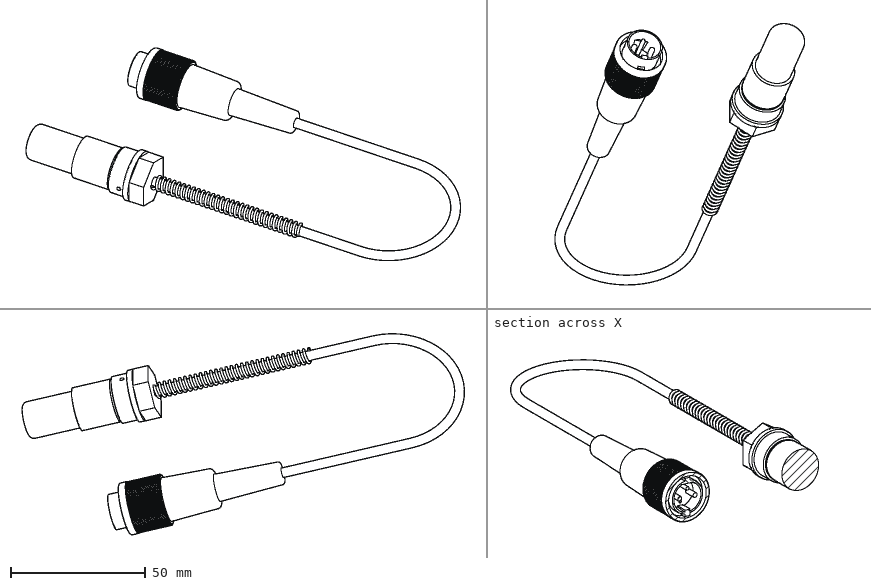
import cadquery as cq
import math

TOTAL_LENGTH = 161.8
AXIS_SPACING = 50.0

PROBE_TIP_D = 14.0
PROBE_TIP_ROUND = 2.1
PROBE_BODY_X = 20.0
PROBE_BODY_D = 16.5
PROBE_GROOVE_X = 34.8
PROBE_GROOVE_D = 16.0
PROBE_COLLAR_X = 35.6
PROBE_COLLAR_D = 18.0
PROBE_FLANGE_X = 41.9
PROBE_FLANGE_D = 19.9
HEX_X = 44.0
HEX_END_X = 50.0
HEX_CORNERS_D = 20.0
COLLAR_HOLE_D = 1.49
COLLAR_HOLE_X = 39.8
COLLAR_HOLE_DEPTH = 1.5

CABLE_D = 3.7
BEND_RADIUS = AXIS_SPACING / 2
BEND_X = TOTAL_LENGTH - BEND_RADIUS - CABLE_D / 2

WIRE_D = 1.0
SPRING_D = 6.0
SPRING_TURNS = 30
SPRING_TRAVEL = 60.0
SPRING_X = HEX_END_X + WIRE_D / 2

SHELL_X = 19.1
SHELL_D = 13.6
SHELL_MOUTH_D = 12.3
SHELL_FLOOR_D = 11.3
SHELL_BORE_DEPTH = 10.0
BORE_FLAT_HEIGHT = 5.3
KEY_WIDTH = 2.3
KEY_TIP_RADIUS = 5.0
LUG_WIDTH = 2.5
LUG_TIP_RADIUS = 7.8
FLOOR_HOLE_D = 1.0
FLOOR_HOLE_RADIUS = 3.5
FLOOR_HOLE_DEPTH = 1.0
FLAT_SETBACK = 4.9

SIDE_PIN_D = 2.0
TOP_PIN_D = 1.5
PIN_CIRCLE_RADIUS = 3.4
PINS = ((0, SIDE_PIN_D), (90, TOP_PIN_D), (180, SIDE_PIN_D))
PIN_TIP_SETBACK = 1.6
PIN_TIP_ROUND = 0.5

RING_X = 24.0
RING_END_X = 40.1
RING_FLANGE_D = 19.9
RING_FLANGE_LENGTH = 2.9
RING_RECESS_D = 16.5
RING_RECESS_DEPTH = 2.8
RING_ROUND = 0.6
KNURL_D = 19.5
KNURL_GROOVES = 100
KNURL_DEPTH = 0.3
KNURL_CHAMFER = 0.5

BOOT_STEP_X = 59.7
BOOT_END_X = 85.0
BOOT_START_D = 16.8
BOOT_STEP_D = 15.2
BOOT_STEP_ROUND = 1.6
SLEEVE_START_D = 10.5
SLEEVE_END_D = 8.7
SLEEVE_ROUND = 1.0


def rod(start_x, end_x, diameter, y=0.0, z=0.0):
    """Cylinder parallel to X."""
    plane = cq.Workplane("YZ", origin=(start_x, y, z))
    return plane.circle(diameter / 2).extrude(end_x - start_x)


def cone(start_x, end_x, start_d, end_d):
    """Tapered round section around the connector axis."""
    outline = [
        (start_x, 0),
        (start_x, start_d / 2),
        (end_x, end_d / 2),
        (end_x, 0),
    ]
    section = cq.Workplane("XY").polyline(outline).close().revolve(360, (0, 0), (1, 0))
    return section.translate((0, AXIS_SPACING, 0))


def block(start_x, end_x, width, bottom_z, top_z):
    """Rectangular block centred across the connector axis."""
    size = (end_x - start_x, width, top_z - bottom_z)
    corner = (start_x, AXIS_SPACING - width / 2, bottom_z)
    return cq.Workplane("XY").box(*size, centered=False).translate(corner)


def make_probe():
    tip = rod(0, PROBE_BODY_X, PROBE_TIP_D).faces("<X").edges().fillet(PROBE_TIP_ROUND)
    body = rod(PROBE_BODY_X, PROBE_GROOVE_X, PROBE_BODY_D)
    groove = rod(PROBE_GROOVE_X, PROBE_COLLAR_X, PROBE_GROOVE_D)
    collar = rod(PROBE_COLLAR_X, PROBE_FLANGE_X, PROBE_COLLAR_D)
    flange = rod(PROBE_FLANGE_X, HEX_X, PROBE_FLANGE_D)
    hexagon = (
        cq.Workplane("YZ", origin=(HEX_X, 0, 0))
        .transformed(rotate=(0, 0, 90))
        .polygon(6, HEX_CORNERS_D)
        .extrude(HEX_END_X - HEX_X)
    )
    hole = (
        cq.Workplane("XZ", origin=(COLLAR_HOLE_X, -PROBE_COLLAR_D / 2 + COLLAR_HOLE_DEPTH, 0))
        .circle(COLLAR_HOLE_D / 2)
        .extrude(PROBE_COLLAR_D)
    )
    return tip.union(body).union(groove).union(collar).union(flange).union(hexagon).cut(hole)


def make_cable():
    path = (
        cq.Workplane("XY")
        .moveTo(HEX_END_X, 0)
        .lineTo(BEND_X, 0)
        .threePointArc((BEND_X + BEND_RADIUS, BEND_RADIUS), (BEND_X, AXIS_SPACING))
        .lineTo(BOOT_END_X, AXIS_SPACING)
    )
    return cq.Workplane("YZ", origin=(HEX_END_X, 0, 0)).circle(CABLE_D / 2).sweep(path)


def make_spring():
    """Right-handed coil that starts and ends on the -Y side of the cable."""
    coil_radius = (SPRING_D - WIRE_D) / 2
    coil = cq.Wire.makeHelix(SPRING_TRAVEL / SPRING_TURNS, SPRING_TRAVEL, coil_radius)
    spring = (
        cq.Workplane("XZ", origin=(coil_radius, 0, 0))
        .circle(WIRE_D / 2)
        .sweep(cq.Workplane(coil), isFrenet=True)
    )
    along_x = spring.rotate((0, 0, 0), (0, 0, 1), -90).rotate((0, 0, 0), (0, 1, 0), 90)
    return along_x.translate((SPRING_X, 0, 0))


def make_shell():
    floor_x = SHELL_X + SHELL_BORE_DEPTH
    bore = cone(SHELL_X, floor_x, SHELL_MOUTH_D, SHELL_FLOOR_D)
    flat_fill = block(SHELL_X + FLAT_SETBACK, floor_x, SHELL_D, BORE_FLAT_HEIGHT, SHELL_D / 2)
    shell = rod(SHELL_X, RING_END_X, SHELL_D, AXIS_SPACING).cut(bore.cut(flat_fill))

    wall_middle = (SHELL_D + SHELL_MOUTH_D) / 4
    key = block(SHELL_X, floor_x, KEY_WIDTH, -wall_middle, -KEY_TIP_RADIUS)
    shell = shell.union(key)

    lug_end_x = RING_X + RING_RECESS_DEPTH
    for bottom_z, top_z in ((wall_middle, LUG_TIP_RADIUS), (-LUG_TIP_RADIUS, -wall_middle)):
        shell = shell.union(block(RING_X, lug_end_x, LUG_WIDTH, bottom_z, top_z))

    floor_hole = rod(
        floor_x, floor_x + FLOOR_HOLE_DEPTH, FLOOR_HOLE_D, AXIS_SPACING, -FLOOR_HOLE_RADIUS
    )
    return shell.cut(floor_hole)


def make_pin(angle, diameter):
    """Pin that stands on the floor of the shell bore."""
    y = AXIS_SPACING + PIN_CIRCLE_RADIUS * math.cos(math.radians(angle))
    z = PIN_CIRCLE_RADIUS * math.sin(math.radians(angle))
    pin = rod(SHELL_X + PIN_TIP_SETBACK, SHELL_X + SHELL_BORE_DEPTH, diameter, y, z)
    return pin.faces("<X").edges().fillet(PIN_TIP_ROUND)


def make_knurled_grip(start_x):
    """Straight knurl: V grooves parallel to the axis, between sharp crests."""
    crest_radius = KNURL_D / 2
    root_radius = crest_radius - KNURL_DEPTH
    outline = []
    for step in range(2 * KNURL_GROOVES):
        angle = math.pi * step / KNURL_GROOVES
        radius = crest_radius if step % 2 == 0 else root_radius
        outline.append((radius * math.cos(angle), radius * math.sin(angle)))
    grip = (
        cq.Workplane("YZ", origin=(start_x, AXIS_SPACING, 0))
        .polyline(outline)
        .close()
        .extrude(RING_END_X - start_x)
    )
    envelope = rod(start_x, RING_END_X, KNURL_D, AXIS_SPACING)
    envelope = envelope.faces(">X").edges().chamfer(KNURL_CHAMFER)
    return grip.intersect(envelope)


def make_ring():
    flange_end_x = RING_X + RING_FLANGE_LENGTH
    flange = rod(RING_X, flange_end_x, RING_FLANGE_D, AXIS_SPACING)
    flange = flange.faces("<X").edges().fillet(RING_ROUND)
    recess = rod(RING_X, RING_X + RING_RECESS_DEPTH, RING_RECESS_D, AXIS_SPACING)
    bore = rod(RING_X, RING_END_X, SHELL_D, AXIS_SPACING)
    return flange.union(make_knurled_grip(flange_end_x)).cut(recess).cut(bore)


def make_boot():
    grip = cone(RING_END_X, BOOT_STEP_X, BOOT_START_D, BOOT_STEP_D)
    sleeve = cone(BOOT_STEP_X, BOOT_END_X, SLEEVE_START_D, SLEEVE_END_D)
    grip = grip.faces(">X").edges().fillet(BOOT_STEP_ROUND)
    sleeve = sleeve.faces(">X").edges().fillet(SLEEVE_ROUND)
    return grip.union(sleeve)


probe = make_probe()
cable = make_cable()
spring = make_spring()
shell = make_shell()
ring = make_ring()
boot = make_boot()
pins = [make_pin(angle, diameter) for angle, diameter in PINS]

result = cq.Compound.makeCompound(
    [
        probe.val(),
        cable.val(),
        spring.val(),
        shell.val(),
        ring.val(),
        boot.val(),
        *[pin.val() for pin in pins],
    ]
)